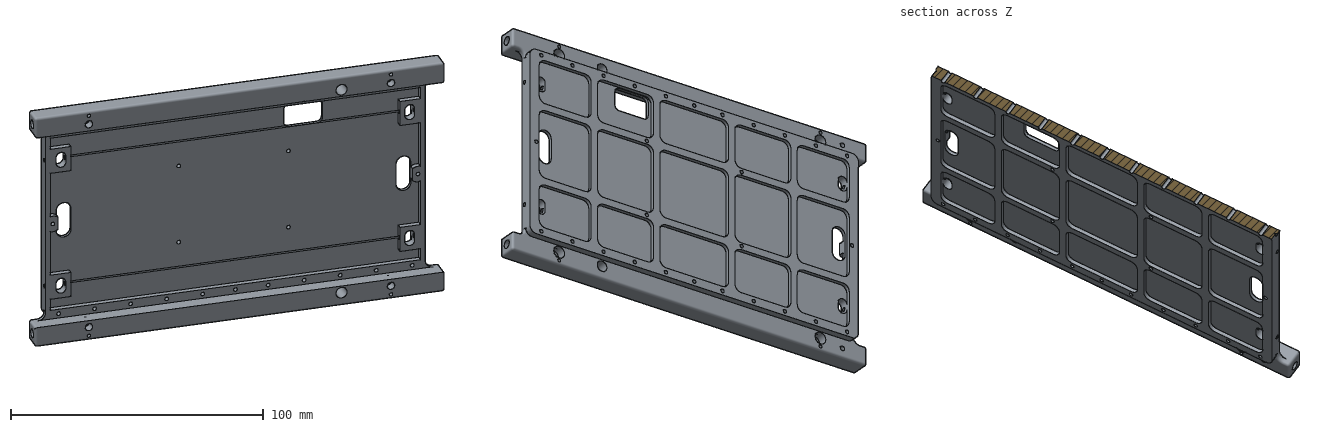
import cadquery as cq
import math


length = 170.2
height = 100.0
thickness = 11.5

rail_size = 8.5
rail_front = thickness - rail_size
rail_inner = height / 2 - rail_size
rail_centre_x = rail_front + rail_size / 2
rail_centre_z = height / 2 - rail_size / 2
edge_rounding = 1.0

panel_length = 158.0
panel_height = 2 * rail_inner
panel_back = 5.6
corner_radius = 3.0

pocket_depth = 1.7
pocket_radius = 3.0
rib_width = 3.0
pocket_columns = [33.0, 26.9, 25.0]
pocket_rows = [30.5, 19.4]

floor_thickness = 1.5
floor_back = pocket_depth + floor_thickness
frame_end_width = 2.0
recess_length = panel_length - 2 * frame_end_width

screw_hole = 1.5
row_hole_z = 39.7
row_hole_first_y = 13.6
row_hole_pitch = 15.0
row_holes_per_side = 5
rib_hole_y = 22.8
rib_hole_z = 16.7
end_hole_y = 75.9
end_boss_radius = 3.4

edge_hole_z = 27.5
edge_hole_x = 3.9
edge_pad_wall = 2.0

large_slot_width = 6.1
large_slot_height = 15.0
large_slot_y = 70.6
small_slot_width = 4.0
small_slot_height = 6.5
window_width = 16.0
window_height = 10.0
window_radius = 2.0
window_y = 29.0
window_z = 32.3

mount_y = 62.8
mount_z = 44.5
mount_hole = 3.0
mount_bore = 5.1
mount_bore_depth = 4.3
pin_hole = 1.4
pin_z = 48.2
clearance_hole = 4.6
clearance_y = 42.2
end_bore = 3.5
end_bore_depth = 8.5
blind_hole = 2.0
blind_hole_depth = 4.0
blind_hole_y = -73.4
drill_tip_angle = 118.0

SIDES = (1, -1)


def box(x_start, x_end, size_y, size_z, y=0.0, z=0.0):
    """Box from x_start to x_end, centred at (y, z)."""
    block = cq.Workplane("XY").box(x_end - x_start, size_y, size_z)
    return block.translate(((x_start + x_end) / 2, y, z))


def hole(diameter, y, z, x_start=0.0, x_end=thickness):
    """Round cutter along X."""
    plane = cq.Workplane("YZ", origin=(x_start, y, z))
    return plane.circle(diameter / 2).extrude(x_end - x_start)


def drilled_hole(diameter, depth, start, direction):
    """Blind cutter with a conical drill tip beyond its full-diameter depth."""
    radius = diameter / 2
    tip_length = radius / math.tan(math.radians(drill_tip_angle / 2))
    axis = cq.Vector(*direction)
    tip_start = cq.Vector(*start) + axis * depth
    shaft = cq.Solid.makeCylinder(radius, depth, cq.Vector(*start), axis)
    tip = cq.Solid.makeCone(radius, 0, tip_length, tip_start, axis)
    return cq.Workplane(shaft).union(cq.Workplane(tip))


def slot(width, slot_height, y, z):
    """Upright round-ended cutter through the panel."""
    plane = cq.Workplane("YZ", origin=(0, y, z))
    return plane.slot2D(slot_height, width, 90).extrude(panel_back)


def grid_spans(sizes):
    """Centre and size of each cell along one axis of the pocket grid."""
    spans = [(0.0, sizes[0])]
    edge = sizes[0] / 2
    for size in sizes[1:]:
        centre = edge + rib_width + size / 2
        spans += [(side * centre, size) for side in SIDES]
        edge += rib_width + size
    return spans


pocket_field_length = 2 * max(centre + size / 2 for centre, size in grid_spans(pocket_columns))
pocket_field_height = 2 * max(centre + size / 2 for centre, size in grid_spans(pocket_rows))
small_slot_y = pocket_field_length / 2 - small_slot_width / 2


def make_rails():
    """Two square rails joined by the rear layer of the panel, with rounded edges."""
    body = box(rail_front, panel_back, panel_length, panel_height)
    for side in SIDES:
        body = body.union(box(rail_front, thickness, length, rail_size, z=side * rail_centre_z))
    layer_middle = (rail_front + panel_back) / 2
    for side_y in SIDES:
        for side_z in SIDES:
            corner = (layer_middle, side_y * panel_length / 2, side_z * rail_inner)
            body = body.edges(cq.selectors.NearestToPointSelector(corner)).fillet(corner_radius)
    return body.faces("<X or <Y or >Y or <Z or >Z").edges().fillet(edge_rounding)


def make_panel():
    """Front slab with rounded corners, backed by a square-ended core."""
    slab = box(0, rail_front, panel_length, panel_height).edges("|X").fillet(corner_radius)
    core = box(rail_front, panel_back, panel_length, panel_height - 2 * corner_radius)
    return slab.union(core)


def make_recess():
    """Cutter for the back recess; it leaves bosses and pads around the end holes."""
    recess = box(floor_back, panel_back, recess_length, pocket_field_height)
    pad_inner_y = small_slot_y - small_slot_width / 2 - edge_pad_wall
    pad_length = panel_length / 2 - pad_inner_y
    pad_y = pad_inner_y + pad_length / 2
    pad_height = small_slot_height + 2 * edge_pad_wall
    for side in SIDES:
        recess = recess.cut(hole(2 * end_boss_radius, side * end_hole_y, 0))
        for side_z in SIDES:
            pad = box(floor_back, panel_back, pad_length, pad_height, side * pad_y, side_z * edge_hole_z)
            recess = recess.cut(pad)
    return recess


def cut_pockets(body):
    """Grid of shallow pockets in the front face."""
    for y, size_y in grid_spans(pocket_columns):
        for z, size_z in grid_spans(pocket_rows):
            pocket = box(0, pocket_depth, size_y, size_z, y, z)
            body = body.cut(pocket.edges("|X").fillet(pocket_radius))
    return body


def cut_openings(body):
    """Window and the slots at both ends."""
    window = box(0, panel_back, window_width, window_height, window_y, window_z)
    body = body.cut(window.edges("|X").fillet(window_radius))
    for side in SIDES:
        body = body.cut(slot(large_slot_width, large_slot_height, side * large_slot_y, 0))
        for side_z in SIDES:
            body = body.cut(
                slot(small_slot_width, small_slot_height, side * small_slot_y, side_z * edge_hole_z)
            )
    return body


def cut_panel_holes(body):
    """Screw holes through the panel and the long holes along Y."""
    row_y = [row_hole_first_y + i * row_hole_pitch for i in range(row_holes_per_side)]
    row_y = [0.0] + [side * y for y in row_y for side in SIDES]
    points = [(y, side * row_hole_z) for y in row_y for side in SIDES]
    points += [(sy * rib_hole_y, sz * rib_hole_z) for sy in SIDES for sz in SIDES]
    points += [(side * end_hole_y, 0.0) for side in SIDES]
    for y, z in points:
        body = body.cut(hole(screw_hole, y, z))
    for side in SIDES:
        drill = cq.Workplane("XZ", origin=(edge_hole_x, panel_length / 2, side * edge_hole_z))
        body = body.cut(drill.circle(screw_hole / 2).extrude(panel_length))
    return body


def cut_rail_holes(body):
    """Counterbored, pin, clearance, end and blind holes in both rails."""
    for side_z in SIDES:
        for side_y in SIDES:
            y = side_y * mount_y
            bore_end = rail_front + mount_bore_depth
            body = body.cut(hole(mount_hole, y, side_z * mount_z))
            body = body.cut(hole(mount_bore, y, side_z * mount_z, rail_front, bore_end))
            body = body.cut(hole(pin_hole, y, side_z * pin_z))
            end = (rail_centre_x, side_y * length / 2, side_z * rail_centre_z)
            body = body.cut(drilled_hole(end_bore, end_bore_depth, end, (0, -side_y, 0)))
        body = body.cut(hole(clearance_hole, clearance_y, side_z * mount_z))
        blind_start = (rail_front, blind_hole_y, side_z * rail_centre_z)
        body = body.cut(drilled_hole(blind_hole, blind_hole_depth, blind_start, (1, 0, 0)))
    return body


result = make_rails().union(make_panel())
result = result.cut(make_recess())
result = cut_pockets(result)
result = cut_openings(result)
result = cut_panel_holes(result)
result = cut_rail_holes(result)